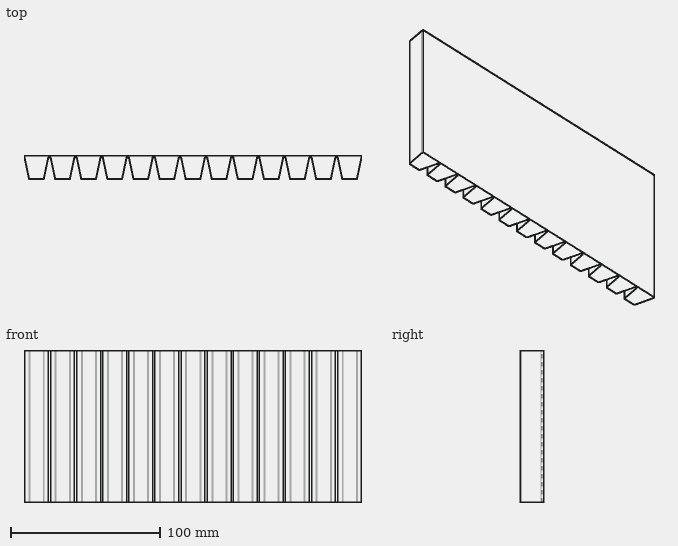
import cadquery as cq
import math

length = 225.5
depth = 15.8
height = 101.7

rib_count = 13
front_width = 10.0
taper_angle = 11.9
front_corner_radius = 0.7

sheet_thickness = 1.4

end_rib_width = 15.8

rib_pitch = (length - end_rib_width) / (rib_count - 1)
rib_depth = depth - sheet_thickness
root_width = front_width + 2 * rib_depth * math.tan(math.radians(taper_angle))
first_rib_x = -(rib_count - 1) / 2 * rib_pitch


def make_block():
    """Plain block with its back face on the XZ plane."""
    block = cq.Workplane("XY").box(length, depth, height, centered=(True, False, False))
    return block.translate((0, -depth, 0))


def make_groove(x_center):
    """Tapered vertical groove in front of the sheet, midway between two ribs."""
    half_mouth = (rib_pitch - front_width) / 2
    half_floor = (rib_pitch - root_width) / 2
    return (
        cq.Workplane("XY")
        .moveTo(x_center - half_mouth, -depth)
        .lineTo(x_center - half_floor, -sheet_thickness)
        .lineTo(x_center + half_floor, -sheet_thickness)
        .lineTo(x_center + half_mouth, -depth)
        .close()
        .extrude(height)
    )


result = make_block()
for groove_index in range(rib_count + 1):
    result = result.cut(make_groove(first_rib_x + (groove_index - 0.5) * rib_pitch))

result = result.faces("<Y").edges("|Z").fillet(front_corner_radius)